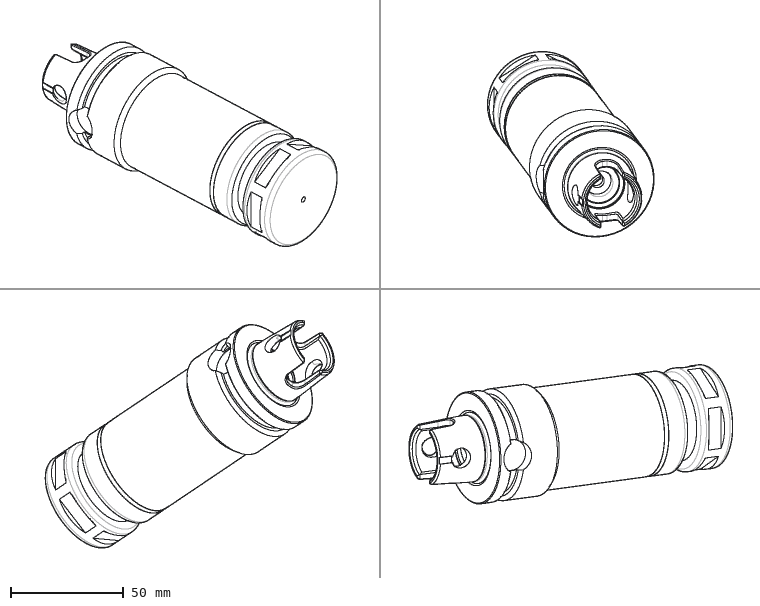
import cadquery as cq
import math

length = 145.0

flange_x = 25.0
gauge_radius = 15.1
taper_slope = 0.055
tip_chamfer_length = 1.0
tip_chamfer_height = 0.6
taper_end_x = 22.9
undercut_x = 23.3
undercut_radius = 14.8
root_fillet = 1.2
recess_depth = 0.5
recess_radius = 16.8

flange_radius = 50.0 / 2
flange_chamfer = 0.5
groove_start_x = 30.9
groove_floor_start_x = 32.0
groove_floor_end_x = 36.0
groove_end_x = 37.3
groove_floor_radius = 21.5
groove_wall_radius = 22.9
flange_shoulder_x = 54.1

body_start_x = 56.1
body_radius = 46.0 / 2
ring_start_x = 109.8
ring_end_x = 112.0
ring_depth = 0.1
body_end_x = 122.1
body_end_round_length = 2.0
body_end_round_height = 1.0
neck_radius = 36.0 / 2

nut_start_x = 128.9
nut_radius = 23.2
nut_round_length = 2.0
nut_round_height = 1.5
flat_count = 6
flat_distance = 21.2
flat_floor_start_x = 133.0
flat_floor_end_x = 139.5
flat_wall_run = 0.65

mouth_radius = 23.0 / 2
mouth_edge_radius = 12.3
mouth_edge_depth = 0.9
mouth_cone_end_x = 2.3
bore_radius = 21.8 / 2
bore_depth = 22.0
step_radius = 21.0 / 2
step_end_x = 22.9
socket_start_x = 23.9
socket_radius = 18.0 / 2
bore_floor_x = 28.3

nipple_tip_x = 23.2
nipple_outer_radius = 17.5 / 2
nipple_inner_radius = 12.0 / 2
inlet_radius = 6.0 / 2
inlet_depth = 2.9
coolant_radius = 2.5 / 2

slot_width = 9.9
slot_end_x = 14.2
slot_corner_radius = 3.9
slot_chamfer = 0.6
selection_margin = 0.1
slot_flare_length = 1.0
slot_flare_height = 0.7

cross_hole_x = 11.3
cross_hole_diameter = 9.0
notch_width = 3.0
notch_floor = 13.5
ball_track_tilt = 30
ball_track_start = 12.0
ball_track_length = 4.4

pocket_x = 34.0
pocket_diameter = 14.0
pocket_floor = 19.6


def taper_radius(x):
    return gauge_radius - taper_slope * (flange_x - x)


def turned(profile):
    return profile.revolve(360, (0, 0, 0), (1, 0, 0))


def turned_body():
    mid_arc = math.sqrt(0.5)
    outer_arc = 1 - mid_arc
    tip_radius = taper_radius(0) - tip_chamfer_height
    fillet_start_x = flange_x + recess_depth - root_fillet
    fillet_centre_radius = undercut_radius + root_fillet
    profile = (
        cq.Workplane("XY")
        .lineTo(0, tip_radius)
        .lineTo(tip_chamfer_length, taper_radius(tip_chamfer_length))
        .lineTo(taper_end_x, taper_radius(taper_end_x))
        .lineTo(undercut_x, undercut_radius)
        .lineTo(fillet_start_x, undercut_radius)
        .threePointArc(
            (fillet_start_x + root_fillet * mid_arc, fillet_centre_radius - root_fillet * mid_arc),
            (flange_x + recess_depth, fillet_centre_radius),
        )
        .lineTo(flange_x, recess_radius)
        .lineTo(flange_x, flange_radius - flange_chamfer)
        .lineTo(flange_x + flange_chamfer, flange_radius)
        .lineTo(groove_start_x, flange_radius)
        .lineTo(groove_floor_start_x, groove_wall_radius)
        .lineTo(groove_floor_start_x, groove_floor_radius)
        .lineTo(groove_floor_end_x, groove_floor_radius)
        .lineTo(groove_floor_end_x, groove_wall_radius)
        .lineTo(groove_end_x, flange_radius)
        .lineTo(flange_shoulder_x, flange_radius)
        .lineTo(body_start_x, body_radius)
        .lineTo(ring_start_x, body_radius)
        .lineTo(ring_start_x, body_radius - ring_depth)
        .lineTo(ring_end_x, body_radius - ring_depth)
        .lineTo(ring_end_x, body_radius)
        .lineTo(body_end_x - body_end_round_length, body_radius)
        .threePointArc(
            (
                body_end_x - body_end_round_length * outer_arc,
                body_radius - body_end_round_height * outer_arc,
            ),
            (body_end_x, body_radius - body_end_round_height),
        )
        .lineTo(body_end_x, neck_radius)
        .lineTo(nut_start_x, neck_radius)
        .lineTo(nut_start_x, nut_radius - nut_round_height)
        .threePointArc(
            (nut_start_x + nut_round_length * outer_arc, nut_radius - nut_round_height * outer_arc),
            (nut_start_x + nut_round_length, nut_radius),
        )
        .lineTo(length - nut_round_length, nut_radius)
        .threePointArc(
            (length - nut_round_length * outer_arc, nut_radius - nut_round_height * outer_arc),
            (length, nut_radius - nut_round_height),
        )
        .lineTo(length, 0)
        .close()
    )
    return turned(profile)


def bore():
    profile = (
        cq.Workplane("XY")
        .lineTo(0, bore_radius)
        .lineTo(bore_depth, bore_radius)
        .lineTo(bore_depth, step_radius)
        .lineTo(step_end_x, step_radius)
        .lineTo(socket_start_x, socket_radius)
        .lineTo(bore_floor_x, socket_radius)
        .lineTo(bore_floor_x, 0)
        .close()
    )
    return turned(profile)


def bore_mouth():
    profile = (
        cq.Workplane("XY")
        .lineTo(0, mouth_edge_radius)
        .lineTo(mouth_edge_depth, mouth_radius)
        .lineTo(mouth_cone_end_x, bore_radius)
        .lineTo(mouth_cone_end_x, 0)
        .close()
    )
    return turned(profile)


def nipple():
    rim_radius = (nipple_outer_radius - nipple_inner_radius) / 2
    profile = (
        cq.Workplane("XY")
        .moveTo(bore_floor_x, nipple_inner_radius)
        .lineTo(nipple_tip_x + rim_radius, nipple_inner_radius)
        .threePointArc(
            (nipple_tip_x, nipple_inner_radius + rim_radius),
            (nipple_tip_x + rim_radius, nipple_outer_radius),
        )
        .lineTo(bore_floor_x, nipple_outer_radius)
        .close()
    )
    return turned(profile)


def coolant_channel():
    inlet = cq.Workplane("YZ", (bore_floor_x, 0, 0)).circle(inlet_radius).extrude(inlet_depth)
    channel = cq.Workplane("YZ", (bore_floor_x, 0, 0)).circle(coolant_radius).extrude(length - bore_floor_x)
    return inlet.union(channel)


def drive_slot():
    return (
        cq.Workplane("XY")
        .rect(2 * slot_end_x, slot_width)
        .extrude(gauge_radius, both=True)
        .edges("|Z and >X")
        .fillet(slot_corner_radius)
    )


def slot_flare():
    half_width = slot_width / 2
    return (
        cq.Workplane("XY")
        .moveTo(0, half_width + slot_flare_height)
        .lineTo(slot_flare_length, half_width)
        .lineTo(slot_flare_length, -half_width)
        .lineTo(0, -half_width - slot_flare_height)
        .close()
        .extrude(gauge_radius, both=True)
    )


def chamfer_slot_rims(shank):
    reach = slot_width / 2 + selection_margin
    slot_zone = cq.selectors.BoxSelector(
        (selection_margin, -reach, -gauge_radius),
        (slot_end_x + selection_margin, reach, gauge_radius),
    )
    return shank.edges(slot_zone).edges("not |Z").chamfer(slot_chamfer)


def cross_hole():
    return (
        cq.Workplane("XZ")
        .center(cross_hole_x, 0)
        .circle(cross_hole_diameter / 2)
        .extrude(gauge_radius, both=True)
    )


def tip_notch():
    return (
        cq.Workplane("XY")
        .box(cross_hole_x, gauge_radius, notch_width, centered=(False, False, True))
        .translate((0, notch_floor, 0))
    )


def ball_track():
    tilt = math.radians(ball_track_tilt)
    inward = cq.Vector(-math.sin(tilt), -math.cos(tilt), 0)
    start = cq.Plane((cross_hole_x, ball_track_start, 0), xDir=(0, 0, 1), normal=inward)
    return cq.Workplane(start).circle(cross_hole_diameter / 2).extrude(ball_track_length)


def flange_pocket():
    return (
        cq.Workplane("XZ", (pocket_x, pocket_floor, 0))
        .circle(pocket_diameter / 2)
        .extrude(pocket_floor - flange_radius)
    )


def nut_flat(angle):
    return (
        cq.Workplane("XY")
        .moveTo(flat_floor_start_x, flat_distance)
        .lineTo(flat_floor_end_x, flat_distance)
        .lineTo(flat_floor_end_x + flat_wall_run, nut_radius)
        .lineTo(flat_floor_start_x - flat_wall_run, nut_radius)
        .close()
        .extrude(nut_radius, both=True)
        .rotate((0, 0, 0), (1, 0, 0), angle)
    )


result = turned_body().cut(bore()).union(nipple()).cut(coolant_channel())
result = chamfer_slot_rims(result.cut(drive_slot()))
result = result.cut(bore_mouth()).cut(slot_flare()).cut(cross_hole())

for side_cut in (tip_notch(), ball_track(), flange_pocket()):
    result = result.cut(side_cut).cut(side_cut.mirror("XZ"))

for index in range(flat_count):
    result = result.cut(nut_flat(index * 360 / flat_count))